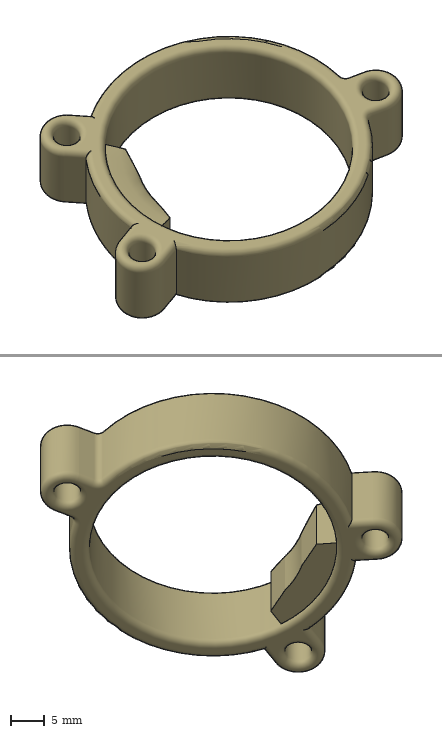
import cadquery as cq
import math

overall_length = 53.3
height = 12.0
ring_outer_diameter = 43.0
ring_outer_radius = ring_outer_diameter / 2
ring_inner_radius = 18.5

lug_radius = 4.0
hole_diameter = 4.0
top_lug_y = 24.5
side_lug_x = 12.7
side_lug_y = top_lug_y + 2 * lug_radius - overall_length
lug_centers = [(0, top_lug_y), (-side_lug_x, side_lug_y), (side_lug_x, side_lug_y)]

lug_wall = lug_radius - hole_diameter / 2
crest_land = 0.01
edge_round = (lug_wall - crest_land) / 2
root_round = 1.0

lip_front_y = -13.55
lip_half_width = 7.5
lip_side_angle = 32
lip_bottom = edge_round

lip_crown = [(13.8, 8.6), (14.65, 9.45), (15.7, 9.9), (ring_inner_radius, 10.55)]


def lug_blank(center):
    """Ear reaching from the ring wall out to a rounded end around its hole."""
    x, y = center
    reach = math.hypot(x, y)
    start = (ring_inner_radius + ring_outer_radius) / 2
    return (
        cq.Workplane("XY")
        .moveTo(start, -lug_radius)
        .lineTo(reach, -lug_radius)
        .threePointArc((reach + lug_radius, 0), (reach, lug_radius))
        .lineTo(start, lug_radius)
        .close()
        .extrude(height)
        .rotate((0, 0, 0), (0, 0, 1), math.degrees(math.atan2(y, x)))
    )


def build_ring():
    """Ring with three drilled lugs and rounded upper and lower edges."""
    body = cq.Workplane("XY").circle(ring_outer_radius).extrude(height)
    for center in lug_centers:
        body = body.union(lug_blank(center))

    root_y = math.sqrt(ring_outer_radius**2 - lug_radius**2)
    for root_x in (-lug_radius, lug_radius):
        corner = cq.selectors.NearestToPointSelector((root_x, root_y, height / 2))
        body = body.edges("|Z").edges(corner).fillet(root_round)

    body = body.cut(cq.Workplane("XY").circle(ring_inner_radius).extrude(height))
    body = body.cut(cq.Workplane("XY").pushPoints(lug_centers).circle(hole_diameter / 2).extrude(height))
    return body.faces("<Z or >Z").edges().fillet(edge_round)


def build_lip():
    """Revolved band with a domed top, trimmed to a flat-fronted wedge."""
    band = (
        cq.Workplane("XZ")
        .moveTo(lip_crown[0][0], lip_bottom)
        .lineTo(*lip_crown[0])
        .spline(lip_crown[1:], includeCurrent=True)
        .lineTo(ring_inner_radius, lip_bottom)
        .close()
        .revolve(360, (0, 0), (0, 1))
    )

    back_y = -ring_inner_radius
    back_half_width = lip_half_width + (lip_front_y - back_y) * math.tan(math.radians(lip_side_angle))
    wedge = (
        cq.Workplane("XY")
        .polyline([
            (-lip_half_width, lip_front_y),
            (lip_half_width, lip_front_y),
            (back_half_width, back_y),
            (-back_half_width, back_y),
        ])
        .close()
        .extrude(height)
    )
    return band.intersect(wedge)


ring = build_ring()
lip = build_lip()

result = cq.Compound.makeCompound([ring.val(), lip.val()])